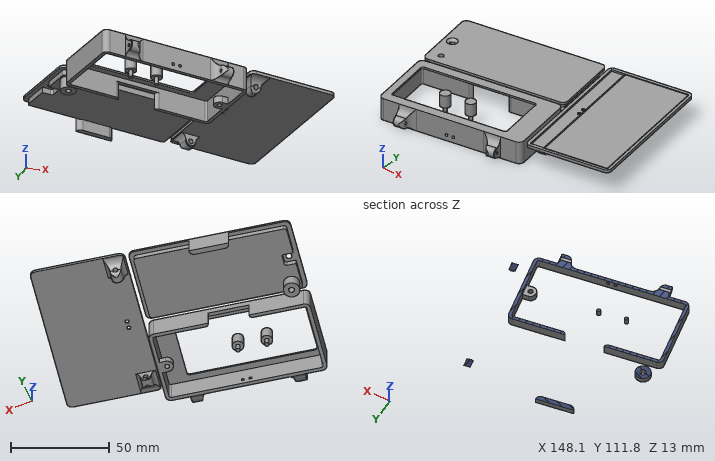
import cadquery as cq
import math

LENGTH = 84.5
WIDTH = 41.5
CORNER_RADIUS = 3.0
LAYOUT_ANGLE = 10.5
GAP = 2.0

BOX_HEIGHT = 13.0
WALL = 1.9
LIP = 1.0
WINDOW_LENGTH = 68.1
WINDOW_WIDTH = 30.7
WINDOW_MARGIN = 4.1
WINDOW_RADIUS = 1.5
WIRE_HOLE = 1.5
WIRE_PITCH = 4.0
WIRE_HOLE_Z = -9.6
OPENING_LENGTH = 21.3
OPENING_RADIUS = 1.8

PLATE = 1.3
BLOCK_DEPTH = 4.5
BLOCK_INSET = 2.2
BLOCK_RADIUS = 1.5
TAB_DEPTH = 10.7
TAB_LENGTH = 20.7
TAB_THICKNESS = 2.8
TAB_RADIUS = 2.7
SCREW_OFFSET = 37.0
SCREW_HOLE = 3.0
SCREW_HEAD = 6.0
NOTCH_WIDTH = 6.7
NOTCH_REACH = 3.0
NOTCH_RADIUS = 1.2
BOSS_X = -35.0
BOSS_Y = -14.5
BOSS_DIAMETER = 8.5
BOSS_HOLE = 3.0

POST_DIAMETER = 6.4
POST_HEIGHT = 3.7
POST_HOLE = 2.4

TRAY_WIDTH = 49.5
TRAY_THICKNESS = 1.8
TRAY_RIM = 1.9
TRAY_FLOOR = 0.5
CHANNEL_DEPTH = 1.0
CHANNEL_WIDTH = 7.1
CHANNEL_SLOPE = 1.2
TRAY_HOLE = 1.9
TRAY_HOLE_INSET = 8.0

LUG_RADIUS = 3.0
BOX_LUG_REACH = 3.4
TRAY_LUG_REACH = 3.9
LUG_WIDTH = 6.0
LUG_CHAMFER = 0.5
BOX_LUG_ROOT = 10.2
TRAY_LUG_ROOT = 11.5
LUG_AXIS_Z = -8.0
LUG_FACE = 30.0
BOX_LUG_HOLE = 1.5
TRAY_LUG_HOLE = 2.5
TRAY_LUG_INSET = 5.9
TRAY_LUG_FLARE = 5.2

PEG_HEAD = 5.9
PEG_HEAD_LENGTH = 7.3
PEG_STEM = 2.2
PEG_STEM_LENGTH = 3.9
PEG_PITCH = 15.1
PEG_COUNT = 2

COVER_Y = WIDTH + GAP
TRAY_X = LENGTH / 2 + GAP + TRAY_WIDTH / 2
TRAY_Y = COVER_Y + WIDTH / 2 - LENGTH / 2


def rounded_slab(length, width, radius, top, bottom):
    """Upright block with rounded corners, centred on the Z axis."""
    return (
        cq.Workplane("XY", origin=(0, 0, bottom))
        .rect(length, width)
        .extrude(top - bottom)
        .edges("|Z")
        .fillet(radius)
    )


def cylinder(diameter, x, y, top, bottom):
    return cq.Workplane("XY", origin=(x, y, bottom)).circle(diameter / 2).extrude(top - bottom)


def flare_middle(barrel_point, root_point):
    """Middle of the concave arc from a lug's barrel to its root; points are (toward the face, across).

    The arc is tangent to the face when it spreads wider than it reaches, otherwise to the barrel.
    """
    reach = root_point[0] - barrel_point[0]
    spread = root_point[1] - barrel_point[1]
    chord = math.hypot(reach, spread)
    radius = chord**2 / (2 * min(reach, abs(spread)))
    bow = radius - math.sqrt(radius**2 - chord**2 / 4)
    return (
        (barrel_point[0] + root_point[0]) / 2 + bow * abs(spread) / chord,
        (barrel_point[1] + root_point[1]) / 2 - bow * math.copysign(reach, spread) / chord,
    )


def barrel_chamfer(reach):
    """Waste outside a cone round the outer half of the barrel, at a lug's flat end."""
    axis_point = cq.Vector(0, -reach, 0)
    along = cq.Vector(1, 0, 0)
    cone = cq.Solid.makeCone(LUG_RADIUS - LUG_CHAMFER, LUG_RADIUS, LUG_CHAMFER, axis_point, along)
    outer_half = (
        cq.Workplane("YZ")
        .center(-reach - LUG_RADIUS, 0)
        .rect(2 * LUG_RADIUS, 4 * LUG_RADIUS)
        .extrude(LUG_CHAMFER)
    )
    return outer_half.cut(cq.Workplane(cone))


def lug(reach, root_length, root_low, root_high, hole):
    """Hinge lug on a face at y = 0, with its hinge axis along X at y = -reach, z = 0.

    The end face at x = 0 is flat and the other end flares out to root_length. Across the axis the
    root spans root_low to root_high in Z.
    """
    tip = -reach - LUG_RADIUS
    upper = (-reach, LUG_RADIUS)
    lower = (-reach, -LUG_RADIUS)
    side = (
        cq.Workplane("YZ")
        .moveTo(0, root_low)
        .threePointArc(flare_middle(lower, (0, root_low)), lower)
        .threePointArc((tip, 0), upper)
        .threePointArc(flare_middle(upper, (0, root_high)), (0, root_high))
        .close()
        .extrude(root_length + LUG_RADIUS)
    )
    outer = (-reach, LUG_WIDTH)
    flare_y, flare_x = flare_middle(outer, (0, root_length))
    round_start = LUG_WIDTH - LUG_RADIUS
    diagonal = LUG_RADIUS * math.sqrt(0.5)
    plan = (
        cq.Workplane("XY", origin=(0, 0, root_low - LUG_RADIUS))
        .lineTo(0, tip)
        .lineTo(round_start, tip)
        .threePointArc((round_start + diagonal, -reach - diagonal), (LUG_WIDTH, -reach))
        .threePointArc((flare_x, flare_y), (root_length, 0))
        .close()
        .extrude(root_high - root_low + 2 * LUG_RADIUS)
    )
    bore = cq.Workplane("YZ").center(-reach, 0).circle(hole / 2).extrude(root_length)
    return side.intersect(plan).cut(bore).cut(barrel_chamfer(reach))


def in_layout(body, x=0, y=0):
    """Move a body to its place beside the box and turn it with the whole layout."""
    return body.translate((x, y, 0)).rotate((0, 0, 0), (0, 0, 1), LAYOUT_ANGLE)


def make_box():
    body = rounded_slab(LENGTH, WIDTH, CORNER_RADIUS, 0, -BOX_HEIGHT)
    cavity = rounded_slab(LENGTH - 2 * WALL, WIDTH - 2 * WALL, CORNER_RADIUS - WALL, -LIP, -BOX_HEIGHT)
    window_x = -LENGTH / 2 + WINDOW_MARGIN + WINDOW_LENGTH / 2
    window = rounded_slab(WINDOW_LENGTH, WINDOW_WIDTH, WINDOW_RADIUS, 0, -LIP)
    body = body.cut(cavity).cut(window.translate((window_x, 0, 0)))

    opening_top = TAB_DEPTH - PLATE - BOX_HEIGHT
    opening = cq.Workplane("XY", origin=(0, WIDTH / 2 - WALL / 2, -BOX_HEIGHT))
    opening = opening.rect(OPENING_LENGTH, WALL).extrude(opening_top + BOX_HEIGHT)
    body = body.cut(opening)
    for end in (-1, 1):
        edge = cq.selectors.NearestToPointSelector(
            (end * OPENING_LENGTH / 2, WIDTH / 2 - WALL, (opening_top - BOX_HEIGHT) / 2)
        )
        body = body.edges("|Z").edges(edge).fillet(OPENING_RADIUS)

    post_top = POST_HEIGHT - BOX_HEIGHT
    web_length = LENGTH / 2 - WALL - SCREW_OFFSET
    web = cq.Workplane("XY", origin=(SCREW_OFFSET + web_length / 2, 0, -BOX_HEIGHT))
    body = body.union(web.rect(web_length, POST_DIAMETER).extrude(POST_HEIGHT))
    body = body.union(cylinder(POST_DIAMETER, SCREW_OFFSET, 0, post_top, -BOX_HEIGHT))
    body = body.cut(cylinder(POST_HOLE, SCREW_OFFSET, 0, post_top, -BOX_HEIGHT))

    wire_holes = (
        cq.Workplane("XZ", origin=(0, -WIDTH / 2 + WALL, WIRE_HOLE_Z))
        .pushPoints([(-WIRE_PITCH / 2, 0), (WIRE_PITCH / 2, 0)])
        .circle(WIRE_HOLE / 2)
        .extrude(WALL)
    )
    body = body.cut(wire_holes)

    left_lug = lug(BOX_LUG_REACH, BOX_LUG_ROOT, -BOX_HEIGHT - LUG_AXIS_Z, -LUG_AXIS_Z, BOX_LUG_HOLE)
    left_lug = left_lug.translate((-LUG_FACE, -WIDTH / 2, LUG_AXIS_Z))
    return body.union(left_lug).union(left_lug.mirror("YZ"))


def make_cover():
    body = rounded_slab(LENGTH, WIDTH, CORNER_RADIUS, 0, -PLATE)
    block = rounded_slab(
        LENGTH - 2 * BLOCK_INSET, WIDTH - 2 * BLOCK_INSET, BLOCK_RADIUS, -PLATE, -BLOCK_DEPTH
    )
    notch_left = -LENGTH / 2
    notch_right = -SCREW_OFFSET + NOTCH_REACH
    notch = (
        cq.Workplane("XY", origin=((notch_left + notch_right) / 2, 0, -BLOCK_DEPTH))
        .rect(notch_right - notch_left, NOTCH_WIDTH)
        .extrude(BLOCK_DEPTH - PLATE)
        .edges("|Z and >X")
        .fillet(NOTCH_RADIUS)
    )
    body = body.union(block.cut(notch))

    tab = (
        cq.Workplane("XY", origin=(0, WIDTH / 2 - TAB_THICKNESS / 2, -TAB_DEPTH))
        .rect(TAB_LENGTH, TAB_THICKNESS)
        .extrude(TAB_DEPTH - PLATE)
        .edges("|Z and <Y")
        .fillet(TAB_RADIUS)
    )
    body = body.union(tab)

    body = body.union(cylinder(BOSS_DIAMETER, BOSS_X, BOSS_Y, -PLATE, -TAB_DEPTH))
    body = body.cut(cylinder(BOSS_HOLE, BOSS_X, BOSS_Y, 0, -TAB_DEPTH))
    body = body.cut(cylinder(SCREW_HOLE, -SCREW_OFFSET, 0, 0, -PLATE))
    countersink = cq.Solid.makeCone(
        SCREW_HEAD / 2, SCREW_HOLE / 2, PLATE, pnt=cq.Vector(-SCREW_OFFSET, 0, 0), dir=cq.Vector(0, 0, -1)
    )
    return body.cut(cq.Workplane(countersink))


def make_tray():
    body = rounded_slab(TRAY_WIDTH, LENGTH, CORNER_RADIUS, 0, -TRAY_THICKNESS)
    left = -TRAY_WIDTH / 2 + TRAY_RIM
    right = -left
    recess = (
        cq.Workplane("XZ", origin=(0, LENGTH / 2 - TRAY_RIM, 0))
        .moveTo(left, 0)
        .lineTo(left, -CHANNEL_DEPTH)
        .lineTo(left + CHANNEL_WIDTH, -CHANNEL_DEPTH)
        .lineTo(left + CHANNEL_WIDTH + CHANNEL_SLOPE, -TRAY_FLOOR)
        .lineTo(right, -TRAY_FLOOR)
        .lineTo(right, 0)
        .close()
        .extrude(LENGTH - 2 * TRAY_RIM)
    )
    body = body.cut(recess)
    for y in (-WIRE_PITCH / 2, WIRE_PITCH / 2):
        body = body.cut(cylinder(TRAY_HOLE, -TRAY_WIDTH / 2 + TRAY_HOLE_INSET, y, 0, -TRAY_THICKNESS))

    rear_lug = lug(TRAY_LUG_REACH, TRAY_LUG_ROOT, -TRAY_LUG_FLARE, TRAY_LUG_FLARE, TRAY_LUG_HOLE)
    rear_lug = rear_lug.rotate((0, 0, 0), (1, 0, 0), 90).rotate((0, 0, 0), (0, 0, 1), 90)
    rear_lug = rear_lug.translate((TRAY_LUG_INSET - TRAY_WIDTH / 2, LUG_FACE, -TRAY_THICKNESS))
    return body.union(rear_lug).union(rear_lug.mirror("XZ"))


def make_peg():
    head = cylinder(PEG_HEAD, 0, 0, 0, -PEG_HEAD_LENGTH)
    stem = cylinder(PEG_STEM, 0, 0, -PEG_HEAD_LENGTH, -PEG_HEAD_LENGTH - PEG_STEM_LENGTH)
    return head.union(stem)


box = in_layout(make_box())
cover = in_layout(make_cover(), y=COVER_Y)
tray = in_layout(make_tray(), x=TRAY_X, y=TRAY_Y)
pegs = [in_layout(make_peg(), x=-i * PEG_PITCH) for i in range(PEG_COUNT)]

result = cq.Compound.makeCompound([box.val(), cover.val(), tray.val(), *[peg.val() for peg in pegs]])